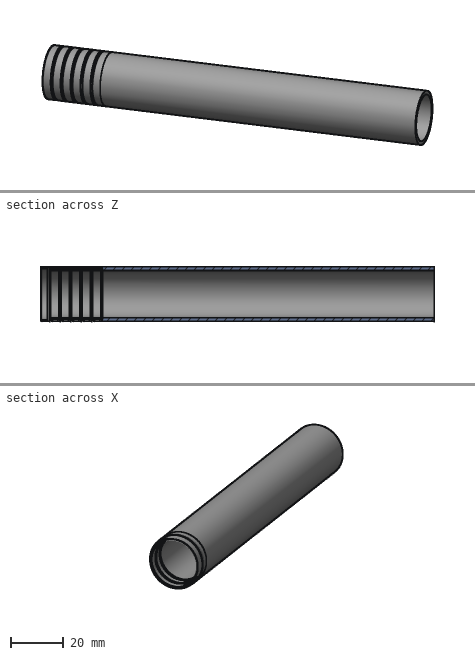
import cadquery as cq
import math

OUTER_RADIUS = 10.5
BORE_RADIUS = 9.0
TUBE_END = 150.0

RING_COUNT = 5
PITCH = 4.0

WALL = OUTER_RADIUS - BORE_RADIUS
MIDDLE_RADIUS = (OUTER_RADIUS + BORE_RADIUS) / 2
STRIP = WALL / 8
CURL_OUTER = WALL / 4
CURL_INNER = CURL_OUTER - STRIP
CURL_CENTRE_RADIUS = OUTER_RADIUS - CURL_OUTER

BAND_LENGTH = 3.09
FOOT_LENGTH = 2.2
WEB_TILT = math.radians(15)

WEB_SLOPE = math.tan(WEB_TILT)
WEB_AXIAL_THICKNESS = STRIP / math.cos(WEB_TILT)
WEB_CENTRE = BAND_LENGTH + WALL / 2 * WEB_SLOPE - WEB_AXIAL_THICKNESS / 2
WEB_INNER_CORNER = BAND_LENGTH + STRIP * WEB_SLOPE - WEB_AXIAL_THICKNESS
WEB_BORE_CORNER = 2 * WEB_CENTRE - BAND_LENGTH


def outer_half(start):
    """Placement of the outer half of a ring whose curl centre is at x = start."""
    return lambda x, radius: (start + x, radius)


def inner_half(start):
    """The same shape turned half a turn about the middle of the web."""
    return lambda x, radius: (start + 2 * WEB_CENTRE - x, 2 * MIDDLE_RADIUS - radius)


def trace_half(outline, place):
    """Trace one half's band, curl and foot, ending at the inside corner of the web."""
    return (
        outline.lineTo(*place(0, OUTER_RADIUS))
        .threePointArc(place(-CURL_OUTER, CURL_CENTRE_RADIUS), place(0, MIDDLE_RADIUS))
        .lineTo(*place(FOOT_LENGTH, MIDDLE_RADIUS))
        .lineTo(*place(FOOT_LENGTH, MIDDLE_RADIUS + STRIP))
        .lineTo(*place(0, MIDDLE_RADIUS + STRIP))
        .threePointArc(place(-CURL_INNER, CURL_CENTRE_RADIUS), place(0, OUTER_RADIUS - STRIP))
        .lineTo(*place(WEB_INNER_CORNER, OUTER_RADIUS - STRIP))
    )


def revolve_about_x(outline):
    return outline.close().revolve(360, (0, 0, 0), (1, 0, 0))


def strip_ring(start):
    """One ring with the full S-shaped section."""
    outline = cq.Workplane("XY").moveTo(start + BAND_LENGTH, OUTER_RADIUS)
    outline = trace_half(outline, outer_half(start))
    outline = outline.lineTo(start + WEB_BORE_CORNER, BORE_RADIUS)
    outline = trace_half(outline, inner_half(start))
    return revolve_about_x(outline)


def plain_tube(start):
    """The tube: it begins with an outer half and keeps the full wall beyond the web."""
    outline = cq.Workplane("XY").moveTo(TUBE_END, OUTER_RADIUS)
    outline = trace_half(outline, outer_half(start))
    outline = outline.lineTo(start + WEB_BORE_CORNER, BORE_RADIUS)
    outline = outline.lineTo(TUBE_END, BORE_RADIUS)
    return revolve_about_x(outline)


result = plain_tube(RING_COUNT * PITCH)
for index in range(RING_COUNT):
    result = result.union(strip_ring(index * PITCH))